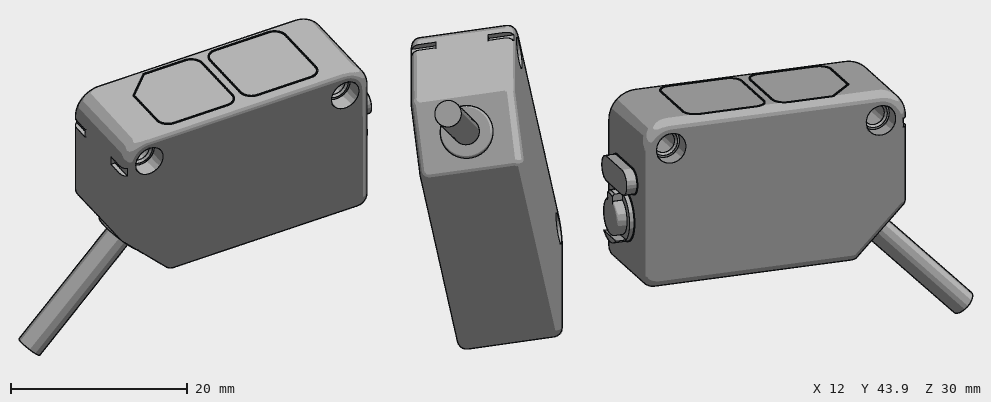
import cadquery as cq
import math

width = 12.0
length = 32.0
height = 20.0
side_x = width / 2
front_y = -length / 2
back_y = length / 2

top_corner_radius = 3.3
bottom_corner_radius = 1.5
edge_radius = 1.05
bevel = 6.2

hole_diameter = 2.55
hole_rim_diameter = 3.05
counterbore_diameter = 3.55
counterbore_depth = 2.0

notch_length = 3.02
notch_height = 1.05
notch_depth = 0.53
notch_top_z = height - 3.45

window_size = width - 2 * edge_radius
window_gap = 0.9
window_corner_radius = 1.5
window_bevel = 3.02
groove_width = 0.15
groove_depth = 0.1

cable_diameter = 3.02
cable_drop = 10.0
collar_diameter = 6.0
collar_height = 0.53
collar_edge_radius = 0.25

button_width = 7.9
button_height = 3.0
button_reach = 1.3
button_z = 11.95
flange_overhang = 0.1
flange_reach = 0.1
dial_diameter = 6.05
dial_base_reach = 0.6
dial_reach = 1.85
dial_z = 7.1
knob_diameter = 4.43
knob_edge_radius = 0.25
pointer_width = 1.55
pointer_chamfer = 0.25
tail_offset = 2.32

embed = 0.45


def make_housing():
    body = (
        cq.Workplane("YZ")
        .moveTo(front_y + bevel, 0)
        .lineTo(back_y, 0)
        .lineTo(back_y, height)
        .lineTo(front_y, height)
        .lineTo(front_y, bevel)
        .close()
        .extrude(side_x, both=True)
    )
    body = body.edges("|X and >Z").fillet(top_corner_radius)
    lower_corners = [
        ((0, back_y, 0), bottom_corner_radius),
        ((0, front_y + bevel, 0), edge_radius),
        ((0, front_y, bevel), edge_radius),
    ]
    for corner, radius in lower_corners:
        body = body.edges(cq.selectors.NearestToPointSelector(corner)).fillet(radius)
    return body.faces("<X or >X").edges().fillet(edge_radius)


def make_mounting_hole(y):
    z = height - top_corner_radius
    inner_face_x = side_x - counterbore_depth
    rim_depth = (hole_rim_diameter - hole_diameter) / 2
    half_section = [
        (0, 0),
        (hole_diameter / 2, 0),
        (hole_diameter / 2, inner_face_x - rim_depth),
        (hole_rim_diameter / 2, inner_face_x),
        (counterbore_diameter / 2, inner_face_x),
        (counterbore_diameter / 2, side_x),
        (0, side_x),
    ]
    half = cq.Workplane("XY").polyline(half_section).close().revolve(360, (0, 0), (0, 1))
    half = half.rotate((0, 0, 0), (0, 0, 1), -90)
    return half.union(half.mirror("YZ")).translate((0, y, z))


def make_notch(side):
    return cq.Workplane("XY").box(notch_length, 2 * notch_depth, notch_height).translate(
        (side * (side_x - notch_length / 2), front_y, notch_top_z - notch_height / 2)
    )


def make_window_plate(inset, beveled):
    size = window_size - 2 * inset
    plate = cq.Workplane("XY").rect(size, size).extrude(groove_depth)
    if beveled:
        leg = window_bevel - inset * (2 - math.sqrt(2))
        plate = plate.edges("|Z and <X and <Y").chamfer(leg)
        rounded = "|Z and (>X or (<X and >Y))"
    else:
        rounded = "|Z"
    return plate.edges(rounded).fillet(window_corner_radius - inset)


def make_window_groove(y, beveled):
    groove = make_window_plate(0, beveled).cut(make_window_plate(groove_width, beveled))
    return groove.translate((0, y, height - groove_depth))


def make_cable():
    middle = cq.Vector(0, front_y + bevel / 2, bevel / 2)
    direction = cq.Vector(0, -1, -1).normalized()
    axis_drop = cable_drop - cable_diameter / 2 * math.sin(math.pi / 4)
    cable_length = (bevel / 2 + axis_drop) * math.sqrt(2)
    plane = cq.Plane(origin=middle - direction * embed, xDir=(1, 0, 0), normal=direction)
    collar = cq.Workplane(plane).circle(collar_diameter / 2).extrude(embed + collar_height)
    collar = collar.faces(cq.selectors.DirectionMinMaxSelector(direction)).edges().fillet(collar_edge_radius)
    cable = cq.Workplane(plane).circle(cable_diameter / 2).extrude(embed + cable_length)
    return collar.union(cable)


def back_plane(z):
    return cq.Workplane(cq.Plane(origin=(0, back_y - embed, z), xDir=(-1, 0, 0), normal=(0, 1, 0)))


def make_button():
    button = back_plane(button_z).slot2D(button_width, button_height).extrude(embed + button_reach)
    flange_width = button_width + 2 * flange_overhang
    flange_height = button_height + 2 * flange_overhang
    flange = back_plane(button_z).slot2D(flange_width, flange_height).extrude(embed + flange_reach)
    return button.union(flange)


def make_dial():
    def post(diameter, reach):
        return back_plane(dial_z).circle(diameter / 2).extrude(embed + reach)

    flange = post(dial_diameter + 2 * flange_overhang, flange_reach)
    base = post(dial_diameter, dial_base_reach)
    knob = post(knob_diameter, dial_reach).faces(">Y").edges().fillet(knob_edge_radius)
    disc = post(dial_diameter, dial_reach)
    rim = dial_diameter / 2

    pointer = back_plane(dial_z).center(0, rim / 2).rect(pointer_width, rim).extrude(embed + dial_reach)
    pointer = pointer.intersect(disc).edges(">Y and >Z").chamfer(pointer_chamfer)
    tail_height = rim - tail_offset
    tail = back_plane(dial_z).center(0, -rim + tail_height / 2).rect(dial_diameter, tail_height)
    tail = tail.extrude(embed + dial_reach).intersect(disc)
    return flange.union(base).union(knob).union(pointer).union(tail)


result = make_housing()
for hole_y in (front_y + top_corner_radius, back_y - top_corner_radius):
    result = result.cut(make_mounting_hole(hole_y))
for notch_side in (-1, 1):
    result = result.cut(make_notch(notch_side))

window_offset = (window_size + window_gap) / 2
result = result.cut(make_window_groove(window_offset, beveled=False))
result = result.cut(make_window_groove(-window_offset, beveled=True))

result = result.union(make_cable()).union(make_button()).union(make_dial())